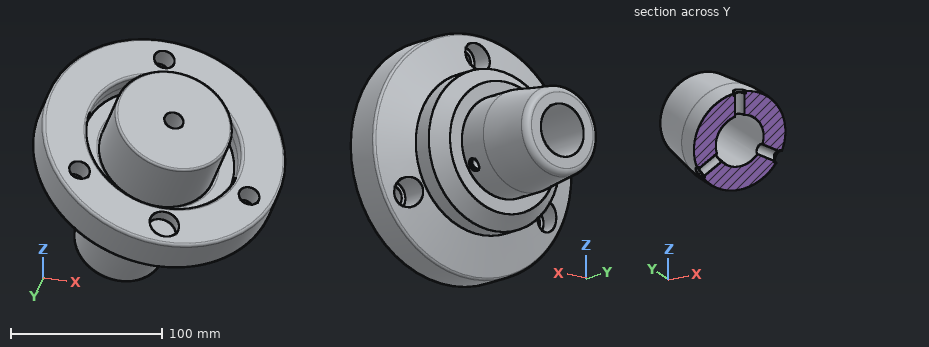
import cadquery as cq
import math


flange_radius = 83.1
flange_edge_fillet = 2.0
flange_rim_end = 26.3
collar_radius = 54.8
collar_base = 35.0
collar_end = 59.0
collar_chamfer = 10.0
nose_radius = 34.9
nose_taper_start = 82.1
nose_end = 122.0
nose_end_radius = 30.2
nose_end_fillet = 5.0

recess_mouth_radius = collar_radius
recess_fillet = 2.0
recess_radius = recess_mouth_radius - recess_fillet
recess_taper_start = 10.0
recess_floor_radius = 52.0
recess_depth = 16.6

plug_radius = 39.9
plug_overhang = 25.0
plug_edge_fillet = 1.5
plug_hole_radius = 6.5
seat_fillet = 2.0
seat_end = collar_base
nose_bore_radius = 18.0

bolt_circle_radius = 66.8
bolt_count = 3
bolt_angle = 360 / bolt_count
bolt_hole_radius = 7.0
counterbore_radius = 10.0
counterbore_floor = 15.0
pocket_radius = 10.0
pocket_depth = 8.8

radial_hole_count = 3
radial_hole_angle = 360 / radial_hole_count
radial_hole_y = 66.0
radial_hole_radius = 3.5
radial_mouth_radius = 4.5
radial_mouth_depth = 2.0

ARC_MID = math.sqrt(0.5)


def round_edge(outline, center, radius, mid_direction, end):
    """Add a quarter-round to a profile; mid_direction gives the signs of its bulge."""
    mid = (
        center[0] + mid_direction[0] * radius * ARC_MID,
        center[1] + mid_direction[1] * radius * ARC_MID,
    )
    return outline.threePointArc(mid, end)


def revolve_about_y(outline):
    return outline.close().revolve(360, (0, 0, 0), (0, 1, 0))


def cylinder_y(x, z, radius, start, end):
    """Cylinder parallel to Y between two Y positions."""
    origin = cq.Vector(x, start, z)
    return cq.Workplane(cq.Solid.makeCylinder(radius, end - start, origin, cq.Vector(0, 1, 0)))


def chuck_outside():
    outside = revolve_about_y(
        cq.Workplane("XY")
        .lineTo(flange_radius, 0)
        .lineTo(flange_radius, flange_rim_end)
        .lineTo(collar_radius, collar_base)
        .lineTo(collar_radius, collar_end - collar_chamfer)
        .lineTo(collar_radius - collar_chamfer, collar_end)
        .lineTo(nose_radius, collar_end)
        .lineTo(nose_radius, nose_taper_start)
        .lineTo(nose_end_radius, nose_end)
        .lineTo(0, nose_end)
    )
    widest_edges = cq.selectors.RadiusNthSelector(-1)
    outside = outside.edges(widest_edges).fillet(flange_edge_fillet)
    return outside.faces(">Y").edges().fillet(nose_end_fillet)


def chuck_inside():
    mouth = round_edge(
        cq.Workplane("XY").lineTo(recess_mouth_radius, 0),
        (recess_mouth_radius, recess_fillet),
        recess_fillet,
        (-1, -1),
        (recess_radius, recess_fillet),
    )
    floor = (
        mouth.lineTo(recess_radius, recess_taper_start)
        .lineTo(recess_floor_radius, recess_depth)
        .lineTo(plug_radius + seat_fillet, recess_depth)
    )
    seat = round_edge(
        floor,
        (plug_radius + seat_fillet, recess_depth + seat_fillet),
        seat_fillet,
        (-1, -1),
        (plug_radius, recess_depth + seat_fillet),
    )
    return revolve_about_y(
        seat.lineTo(plug_radius, seat_end)
        .lineTo(nose_bore_radius, seat_end)
        .lineTo(nose_bore_radius, nose_end)
        .lineTo(0, nose_end)
    )


def bolt_holes():
    """Counterbored holes, the first at +Z; the counterbores open through the conical back."""
    hole = cylinder_y(0, bolt_circle_radius, bolt_hole_radius, 0, collar_base)
    hole = hole.union(
        cylinder_y(0, bolt_circle_radius, counterbore_radius, counterbore_floor, collar_base)
    )
    return [hole.rotate((0, 0, 0), (0, 1, 0), i * bolt_angle) for i in range(bolt_count)]


def front_pocket():
    return cylinder_y(0, -bolt_circle_radius, pocket_radius, 0, pocket_depth)


def radial_holes():
    """Holes from the nose surface into its bore, the first at +Z, each with a wider mouth."""
    up = cq.Vector(0, 0, 1)
    drill = cq.Solid.makeCylinder(
        radial_hole_radius, nose_radius, cq.Vector(0, radial_hole_y, 0), up
    )
    mouth_floor = cq.Vector(0, radial_hole_y, nose_radius - radial_mouth_depth)
    mouth = cq.Solid.makeCylinder(radial_mouth_radius, radial_mouth_depth, mouth_floor, up)
    hole = cq.Workplane(drill).union(cq.Workplane(mouth))
    return [
        hole.rotate((0, 0, 0), (0, 1, 0), i * radial_hole_angle) for i in range(radial_hole_count)
    ]


def make_chuck():
    chuck = chuck_outside().cut(chuck_inside()).cut(front_pocket())
    for hole in bolt_holes() + radial_holes():
        chuck = chuck.cut(hole)
    return chuck


def make_plug():
    plug = cylinder_y(0, 0, plug_radius, -plug_overhang, seat_end)
    plug = plug.faces("<Y").edges().fillet(plug_edge_fillet)
    return plug.cut(cylinder_y(0, 0, plug_hole_radius, -plug_overhang, seat_end))


chuck = make_chuck()
plug = make_plug()

result = cq.Compound.makeCompound([chuck.val(), plug.val()])